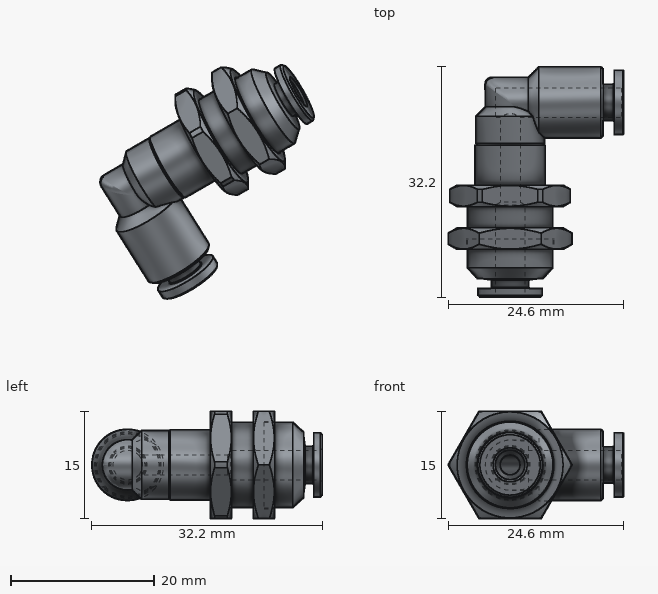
import cadquery as cq
import math


PIPE_R = 3.5
CORNER_FILLET = 1.0

PORT_R = 5.0
PORT_CONE_START = 2.55
PORT_CONE_END = PORT_CONE_START + PORT_R - PIPE_R
PORT_BODY_END = 13.0
PORT_BODY_CHAMFER = 0.32
PORT_NECK_R = 2.55
PORT_RING_R = 4.5
PORT_RING_START = 14.52
PORT_RING_CHAMFER = 0.15
PORT_END = 15.9

SHOULDER_R = 4.83
SHOULDER_CONE_START = 0.65
SHOULDER_CONE_END = SHOULDER_CONE_START + SHOULDER_R - PIPE_R
SHOULDER_END = 5.95
SHOULDER_CHAMFER = 0.23
SLEEVE_R = 4.93
THREAD_R = 6.0
THREAD_TAPER_START = 23.1
THREAD_END = 24.63
THREAD_END_R = 4.57
END_CONE_R = 3.95
END_CONE_HEIGHT = 0.2
STEM_NECK_R = 2.6
STEM_RING_R = 4.5
STEM_RING_START = 26.0
STEM_RING_CHAMFER = 0.3
STEM_END = 27.2

FLARE = 0.13

NUT_FLATS = 15.0
NUT_CORNERS = NUT_FLATS / math.cos(math.pi / 6)
NUT_THICKNESS = 3.0
NUT_FACE_R = 7.4
NUT_CHAMFER_ANGLE = 30
REAR_NUT_START = 11.55
REAR_NUT_CORNER_R = 8.45
FRONT_NUT_START = 17.55
NUT_CLEARANCE = 0.13
NUT_CLEARANCE_DEPTH = NUT_THICKNESS / 2

TUBE_R = 2.05
TUBE_CHAMFER = 0.32
TUBE_CHAMFER_DEPTH = 0.35
STEM_SOCKET_DEPTH = 12.88
PASSAGE_R = 1.4
PASSAGE_CONE = 0.42


def revolve_profile(points):
    """Revolve (distance, radius) points about X, closing the outline on the axis."""
    outline = [(points[0][0], 0)] + points + [(points[-1][0], 0)]
    return cq.Workplane("XY").polyline(outline).close().revolve(360, (0, 0, 0), (1, 0, 0))


def toward_stem(solid):
    """Turn a solid built along +X so that it points along -Y."""
    return solid.rotate((0, 0, 0), (0, 0, 1), -90)


def make_corner():
    """Outer quarter of the mitre between two equal pipes, with its edge rounded."""
    port_extension = cq.Workplane("YZ").circle(PIPE_R).extrude(-PIPE_R)
    stem_extension = cq.Workplane("XZ").circle(PIPE_R).extrude(-PIPE_R)
    return port_extension.intersect(stem_extension).edges("%ELLIPSE").fillet(CORNER_FILLET)


def make_elbow():
    """Port pipe and stem pipe meeting in the rounded corner."""
    port_pipe = cq.Workplane("YZ").circle(PIPE_R).extrude(PORT_CONE_START)
    stem_pipe = cq.Workplane("XZ").circle(PIPE_R).extrude(PORT_CONE_START)
    return port_pipe.union(stem_pipe).union(make_corner())


def make_port():
    """Turned body, neck and release ring of the side port."""
    return revolve_profile([
        (PORT_CONE_START, PIPE_R),
        (PORT_CONE_END, PORT_R),
        (PORT_BODY_END - PORT_BODY_CHAMFER, PORT_R),
        (PORT_BODY_END, PORT_R - PORT_BODY_CHAMFER),
        (PORT_BODY_END, PORT_NECK_R),
        (PORT_RING_START - FLARE, PORT_NECK_R),
        (PORT_RING_START, PORT_NECK_R + FLARE),
        (PORT_RING_START, PORT_RING_R),
        (PORT_END - PORT_RING_CHAMFER, PORT_RING_R),
        (PORT_END, PORT_RING_R - PORT_RING_CHAMFER),
    ])


def make_stem():
    """Turned shoulder, sleeve, thread, neck and release ring of the stem."""
    return toward_stem(revolve_profile([
        (SHOULDER_CONE_START, PIPE_R),
        (SHOULDER_CONE_END, SHOULDER_R),
        (SHOULDER_END - SHOULDER_CHAMFER, SHOULDER_R),
        (SHOULDER_END, SHOULDER_R - SHOULDER_CHAMFER),
        (SHOULDER_END, SLEEVE_R),
        (REAR_NUT_START, SLEEVE_R),
        (REAR_NUT_START, THREAD_R),
        (THREAD_TAPER_START, THREAD_R),
        (THREAD_END, THREAD_END_R),
        (THREAD_END, END_CONE_R),
        (THREAD_END + END_CONE_HEIGHT, STEM_NECK_R),
        (STEM_RING_START - FLARE, STEM_NECK_R),
        (STEM_RING_START, STEM_NECK_R + FLARE),
        (STEM_RING_START, STEM_RING_R),
        (STEM_END - STEM_RING_CHAMFER, STEM_RING_R),
        (STEM_END, STEM_RING_R - STEM_RING_CHAMFER),
    ]))


def make_nut(start, corner_r):
    """Hexagon with flats facing +Z and -Z, chamfered on both faces."""
    end = start + NUT_THICKNESS
    chamfer = (corner_r - NUT_FACE_R) * math.tan(math.radians(NUT_CHAMFER_ANGLE))
    hexagon = (
        cq.Workplane("XZ").workplane(offset=start)
        .polygon(6, NUT_CORNERS)
        .extrude(NUT_THICKNESS)
    )
    envelope = revolve_profile([
        (start, NUT_FACE_R),
        (start + chamfer, corner_r),
        (end - chamfer, corner_r),
        (end, NUT_FACE_R),
    ])
    return hexagon.intersect(toward_stem(envelope))


def make_nut_clearance():
    """Thin ring of space between the thread and the outer half of the front nut."""
    front_face = FRONT_NUT_START + NUT_THICKNESS
    return (
        cq.Workplane("XZ").workplane(offset=front_face)
        .circle(THREAD_R + NUT_CLEARANCE)
        .circle(THREAD_R)
        .extrude(-NUT_CLEARANCE_DEPTH)
    )


def tube_mouth(end):
    """Points of the chamfered mouth where a tube enters."""
    return [
        (end - TUBE_CHAMFER_DEPTH, TUBE_R),
        (end, TUBE_R + TUBE_CHAMFER),
    ]


def make_port_bore():
    """Straight bore that passes the elbow centre and crosses the whole stem passage."""
    return revolve_profile([(-TUBE_R, TUBE_R)] + tube_mouth(PORT_END))


def make_stem_bore():
    """Tube socket with a conical floor and a narrower passage into the port bore."""
    socket_floor = STEM_END - STEM_SOCKET_DEPTH
    return toward_stem(revolve_profile([
        (0, PASSAGE_R),
        (socket_floor - PASSAGE_CONE, PASSAGE_R),
        (socket_floor, TUBE_R),
    ] + tube_mouth(STEM_END)))


result = make_elbow().union(make_port()).union(make_stem())
result = result.union(make_nut(REAR_NUT_START, REAR_NUT_CORNER_R))
result = result.union(make_nut(FRONT_NUT_START, NUT_CORNERS / 2))
result = result.cut(make_nut_clearance())
result = result.cut(make_port_bore()).cut(make_stem_bore())